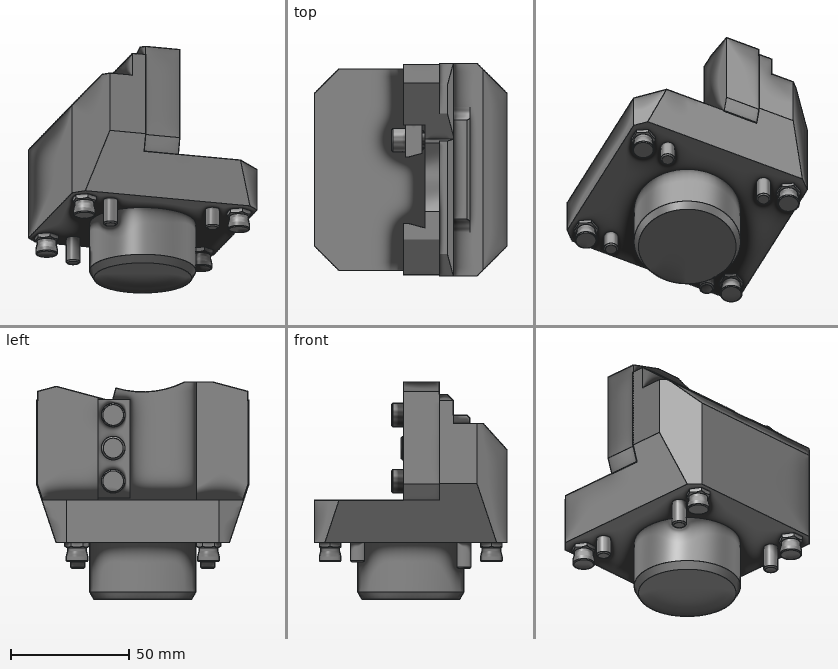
import cadquery as cq
import math

BODY_LENGTH = 81.6
BODY_WIDTH = 90.0
BASE_HEIGHT = 18.0
FLARE_HEIGHT = 25.0
FLARE_SLOPE = 1 / 3
CORNER_SUM = 73.0

RIDGE_FRONT_X = 12.1
RIDGE_BACK_X = 18.0
RIDGE_TOP = 62.7
RIDGE_BEVEL = 2.5
STEP_TOP = 50.5
STEP_BACK_X = 30.6
BACK_FACE_TOP = 39.2

TOP_SLOPE = math.tan(math.radians(15))
NOTCH_Y = 12.9
NOTCH_Z = 59.8

PLATE_FRONT_X = -3.1
PLATE_HALF_WIDTH = 44.5
PLATE_FLARE_TOP = 24.8
PLATE_TOP = 68.0
PLATE_FLAT_OUTER_Y = -29.6
SADDLE_RADIUS = 39.5
SADDLE_BOTTOM = 63.8

POCKET_FLOOR_X = 6.1
POCKET_WALL_Y = 18.9
POCKET_MOUTH_Y = -22.8
POCKET_MOUTH_FLAT = 2.3
DOVETAIL_SLOPE = math.tan(math.radians(15))

BAR_FRONT_X = -2.2
BAR_BACK_X = 4.8
BAR_TIP_Y = 5.4
BAR_TIP_FLAT = 1.4
BAR_BOTTOM = 18.8
BAR_TOP = 60.6
SCREW_Y = 12.5
SCREW_Z = 40.0
SCREW_SPACING = 14.0
SCREW_DIAMETER = 10.0
SCREW_STEM_DIAMETER = 6.0
OUTER_HEAD_X = -8.1
OUTER_HEAD_CHAMFER = 0.6
MIDDLE_HEAD_X = -4.2
MIDDLE_HEAD_CHAMFER = 0.8
MIDDLE_TIP_CHAMFER = 2.0

RAIL_BACK_X = 25.0
RAIL_TOP = 54.0
RAIL_BEVEL = 1.3
RAIL_HALF_FLAT = 20.9
RAIL_END_RADIUS = 6.0

SHANK_DIAMETER = 45.0
SHANK_LENGTH = 24.0
SHANK_CHAMFER_HEIGHT = 3.2
SHANK_CHAMFER_WIDTH = 1.85

DOWEL_DIAMETER = 6.0
DOWEL_X = 22.5
DOWEL_Y = 27.5
FRONT_DOWEL_LENGTH = 8.2
REAR_DOWEL_LENGTH = 10.9
DOWEL_CHAMFER = 0.6

NIPPLE_X = 34.1
NIPPLE_Y = 27.8
HEX_FLATS = 9.0
HEX_HEIGHT = 2.2
HEX_CHAMFER_SLOPE = 0.6
NECK_RADIUS = 4.0
NECK_END = 3.6
WAIST_RADIUS = 4.3
WAIST_END = 4.6
COLLAR_RADIUS = 4.6
COLLAR_START = 6.0
NIPPLE_LENGTH = 8.0
NIPPLE_CHAMFER = 0.4

OVERLAP = 1.0


def plane_yz(x):
    """Plane across the part at the given X, with Y and Z as its local axes."""
    return cq.Workplane("YZ", origin=(x, 0, 0))


def cylinder_x(y, z, radius, x_start, x_end):
    return plane_yz(x_start).center(y, z).circle(radius).extrude(x_end - x_start)


def long_flank_y(z):
    """Y where the long flank of the notch reaches height z."""
    return NOTCH_Y + (z - NOTCH_Z) / TOP_SLOPE


def short_flank_y(z):
    """Y where the short flank of the notch reaches height z."""
    return NOTCH_Y - (z - NOTCH_Z) * TOP_SLOPE


def body():
    half_length = BODY_LENGTH / 2
    half_width = BODY_WIDTH / 2
    foot_y = half_width - FLARE_HEIGHT * FLARE_SLOPE
    ridge_edge_z = RIDGE_TOP - RIDGE_BEVEL
    ridge_flat_y = half_width - RIDGE_BEVEL / TOP_SLOPE

    side_outline = (
        cq.Workplane("XZ", origin=(0, half_width, 0))
        .polyline([
            (-half_length, 0),
            (-half_length, BASE_HEIGHT),
            (RIDGE_FRONT_X, BASE_HEIGHT),
            (RIDGE_FRONT_X, RIDGE_TOP),
            (RIDGE_BACK_X - RIDGE_BEVEL, RIDGE_TOP),
            (RIDGE_BACK_X, ridge_edge_z),
            (RIDGE_BACK_X, STEP_TOP),
            (STEP_BACK_X, STEP_TOP),
            (half_length, BACK_FACE_TOP),
            (half_length, 0),
        ])
        .close()
        .extrude(BODY_WIDTH)
    )
    cross_outline = (
        plane_yz(-half_length)
        .polyline([
            (-foot_y, 0),
            (foot_y, 0),
            (half_width, FLARE_HEIGHT),
            (half_width, ridge_edge_z),
            (ridge_flat_y, RIDGE_TOP),
            (long_flank_y(RIDGE_TOP), RIDGE_TOP),
            (NOTCH_Y, NOTCH_Z),
            (short_flank_y(RIDGE_TOP), RIDGE_TOP),
            (-ridge_flat_y, RIDGE_TOP),
            (-half_width, ridge_edge_z),
            (-half_width, FLARE_HEIGHT),
        ])
        .close()
        .extrude(BODY_LENGTH)
    )
    plan_outline = (
        cq.Workplane("XY")
        .rect(BODY_LENGTH, BODY_WIDTH)
        .extrude(RIDGE_TOP)
        .edges("|Z")
        .chamfer(half_length + half_width - CORNER_SUM)
    )
    return side_outline.intersect(cross_outline).intersect(plan_outline)


def plate():
    foot_y = PLATE_HALF_WIDTH - (PLATE_FLARE_TOP - BASE_HEIGHT) * FLARE_SLOPE
    edge_z = PLATE_TOP - (PLATE_HALF_WIDTH + PLATE_FLAT_OUTER_Y) * TOP_SLOPE

    peak_y = (PLATE_HALF_WIDTH + long_flank_y(edge_z)) / 2
    peak_z = NOTCH_Z + (peak_y - NOTCH_Y) * TOP_SLOPE

    saddle_z = SADDLE_BOTTOM + SADDLE_RADIUS
    saddle_outer_y = -math.sqrt(SADDLE_RADIUS**2 - (saddle_z - PLATE_TOP) ** 2)
    flank_y = short_flank_y(saddle_z)
    steepness = 1 + TOP_SLOPE**2
    root = math.sqrt(steepness * SADDLE_RADIUS**2 - flank_y**2)
    saddle_inner_z = saddle_z - (root - flank_y * TOP_SLOPE) / steepness

    blank = (
        plane_yz(PLATE_FRONT_X)
        .moveTo(-foot_y, BASE_HEIGHT)
        .lineTo(foot_y, BASE_HEIGHT)
        .lineTo(PLATE_HALF_WIDTH, PLATE_FLARE_TOP)
        .lineTo(PLATE_HALF_WIDTH, edge_z)
        .lineTo(peak_y, peak_z)
        .lineTo(NOTCH_Y, NOTCH_Z)
        .lineTo(short_flank_y(saddle_inner_z), saddle_inner_z)
        .threePointArc((0, SADDLE_BOTTOM), (saddle_outer_y, PLATE_TOP))
        .lineTo(PLATE_FLAT_OUTER_Y, PLATE_TOP)
        .lineTo(-PLATE_HALF_WIDTH, edge_z)
        .lineTo(-PLATE_HALF_WIDTH, PLATE_FLARE_TOP)
        .close()
        .extrude(RIDGE_FRONT_X - PLATE_FRONT_X)
    )
    mouth_end_x = PLATE_FRONT_X + POCKET_MOUTH_FLAT
    flank_end_y = POCKET_MOUTH_Y - (POCKET_FLOOR_X - mouth_end_x) * DOVETAIL_SLOPE
    pocket = (
        cq.Workplane("XY", origin=(0, 0, BASE_HEIGHT))
        .polyline([
            (PLATE_FRONT_X, POCKET_WALL_Y),
            (POCKET_FLOOR_X, POCKET_WALL_Y),
            (POCKET_FLOOR_X, flank_end_y),
            (mouth_end_x, POCKET_MOUTH_Y),
            (PLATE_FRONT_X, POCKET_MOUTH_Y),
        ])
        .close()
        .extrude(PLATE_TOP - BASE_HEIGHT)
    )
    return blank.cut(pocket)


def clamp_bar():
    tip_end_x = BAR_FRONT_X + BAR_TIP_FLAT
    flank_end_y = BAR_TIP_Y + (BAR_BACK_X - tip_end_x) * DOVETAIL_SLOPE
    return (
        cq.Workplane("XY", origin=(0, 0, BAR_BOTTOM))
        .polyline([
            (BAR_FRONT_X, POCKET_WALL_Y),
            (BAR_BACK_X, POCKET_WALL_Y),
            (BAR_BACK_X, flank_end_y),
            (tip_end_x, BAR_TIP_Y),
            (BAR_FRONT_X, BAR_TIP_Y),
        ])
        .close()
        .extrude(BAR_TOP - BAR_BOTTOM)
    )


def outer_screw(z):
    """Screw head in front of the bar and stem reaching into the pocket floor."""
    head = cylinder_x(SCREW_Y, z, SCREW_DIAMETER / 2, OUTER_HEAD_X, BAR_FRONT_X)
    head = head.faces("<X").chamfer(OUTER_HEAD_CHAMFER)
    stem_end_x = POCKET_FLOOR_X + OVERLAP
    stem = cylinder_x(SCREW_Y, z, SCREW_STEM_DIAMETER / 2, BAR_FRONT_X, stem_end_x)
    return head.union(stem)


def middle_screw():
    """Full-diameter set screw through the bar with its bevelled tip on the pocket floor."""
    screw = cylinder_x(SCREW_Y, SCREW_Z, SCREW_DIAMETER / 2, MIDDLE_HEAD_X, POCKET_FLOOR_X)
    screw = screw.faces("<X").chamfer(MIDDLE_HEAD_CHAMFER)
    return screw.faces(">X").chamfer(MIDDLE_TIP_CHAMFER)


def key_rail():
    """Bevelled rail whose ends run out into the step through concave arcs."""
    arc_z = STEP_TOP + RAIL_END_RADIUS
    arc_reach = math.sqrt(RAIL_END_RADIUS**2 - (arc_z - RAIL_TOP) ** 2)
    arc_y = RAIL_HALF_FLAT + arc_reach
    rail_start_x = RIDGE_BACK_X - OVERLAP
    rail_depth = RAIL_BACK_X - rail_start_x
    rail_height = RAIL_TOP - STEP_TOP + OVERLAP
    rail = (
        cq.Workplane("XY")
        .box(rail_depth, 2 * arc_y, rail_height, centered=(False, True, False))
        .translate((rail_start_x, 0, RAIL_TOP - rail_height))
        .edges(">X and >Z")
        .chamfer(RAIL_BEVEL)
    )
    for side in (-1, 1):
        rail = rail.cut(cylinder_x(side * arc_y, arc_z, RAIL_END_RADIUS, rail_start_x, RAIL_BACK_X))
    return rail


def shank():
    return (
        cq.Workplane("XY")
        .circle(SHANK_DIAMETER / 2)
        .extrude(-SHANK_LENGTH)
        .faces("<Z")
        .chamfer(SHANK_CHAMFER_HEIGHT, SHANK_CHAMFER_WIDTH)
    )


def dowel(x, y, length):
    return (
        cq.Workplane("XY", origin=(x, y, 0))
        .circle(DOWEL_DIAMETER / 2)
        .extrude(-length)
        .faces("<Z")
        .chamfer(DOWEL_CHAMFER)
    )


def nipple(x, y):
    hex_corner_radius = HEX_FLATS / math.sqrt(3)
    corner_drop = (hex_corner_radius - NECK_RADIUS) * HEX_CHAMFER_SLOPE
    hexagon = (
        cq.Workplane("XY")
        .polygon(6, 2 * hex_corner_radius)
        .extrude(-HEX_HEIGHT)
        .rotate((0, 0, 0), (0, 0, 1), 90)
    )
    corner_trim = (
        cq.Workplane("XZ")
        .polyline([
            (0, 0),
            (hex_corner_radius, 0),
            (hex_corner_radius, corner_drop - HEX_HEIGHT),
            (NECK_RADIUS, -HEX_HEIGHT),
            (0, -HEX_HEIGHT),
        ])
        .close()
        .revolve(360, (0, 0, 0), (0, 1, 0))
    )
    collar = (
        cq.Workplane("XZ")
        .polyline([
            (0, 0),
            (NECK_RADIUS, 0),
            (NECK_RADIUS, -NECK_END),
            (WAIST_RADIUS, -WAIST_END),
            (COLLAR_RADIUS, -COLLAR_START),
            (COLLAR_RADIUS, NIPPLE_CHAMFER - NIPPLE_LENGTH),
            (COLLAR_RADIUS - NIPPLE_CHAMFER, -NIPPLE_LENGTH),
            (0, -NIPPLE_LENGTH),
        ])
        .close()
        .revolve(360, (0, 0, 0), (0, 1, 0))
    )
    return hexagon.intersect(corner_trim).union(collar).translate((x, y, 0))


result = body().union(plate()).union(clamp_bar()).union(key_rail()).union(shank())

result = result.union(middle_screw())
for side in (-1, 1):
    result = result.union(outer_screw(SCREW_Z + side * SCREW_SPACING))

for side in (-1, 1):
    result = result.union(dowel(-DOWEL_X, side * DOWEL_Y, FRONT_DOWEL_LENGTH))
    result = result.union(dowel(DOWEL_X, side * DOWEL_Y, REAR_DOWEL_LENGTH))
    for end in (-1, 1):
        result = result.union(nipple(end * NIPPLE_X, side * NIPPLE_Y))